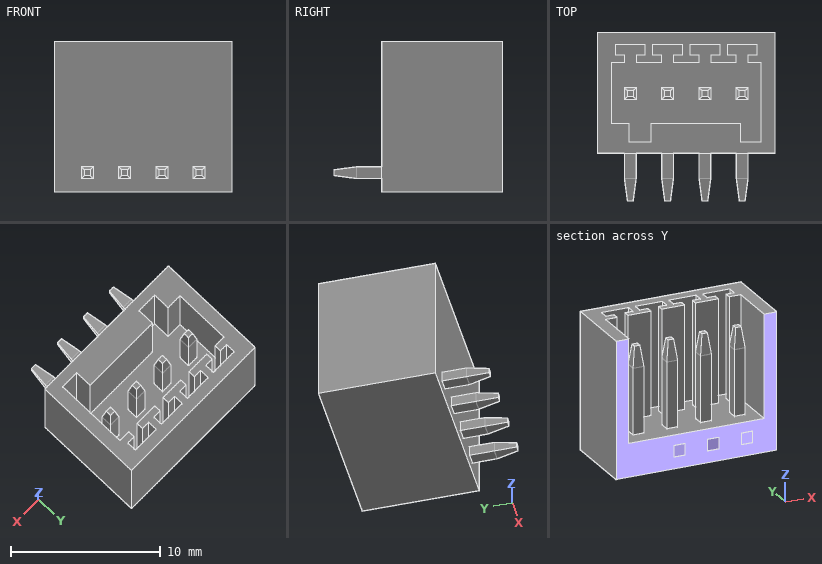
import cadquery as cq

housing_width = 11.9
housing_depth = 8.1
housing_height = 10.1

floor_z = 2.5
cavity_width = 10.0
cavity_front_y = 2.0
cavity_back_y = 6.1
cavity_depth = housing_height - floor_z

key_front_y = 0.75
left_key_start_x = -3.85
left_key_width = 1.5
right_key_width = 1.35

slot_neck_width = 0.8
slot_head_width = 2.0
slot_head_front_y = 6.6
slot_head_back_y = 7.3

pin_count = 4
pin_pitch = 2.5
pin_size = 0.8
pin_tip_size = 0.4
pin_taper_length = 1.5
pin_axis_z = 1.3
pin_axis_y = 4.0
pin_top_z = 8.85
pin_overhang = 3.2

first_pin_x = -pin_pitch * (pin_count - 1) / 2
pin_positions = [first_pin_x + i * pin_pitch for i in range(pin_count)]


def cavity_cut(x_start, x_end, y_start, y_end):
    """Rectangular pocket from the cavity floor up to the housing top."""
    return cq.Workplane("XY").box(
        x_end - x_start, y_end - y_start, cavity_depth, centered=False
    ).translate((x_start, y_start, floor_z))


def contact_slot(x):
    """T-shaped slot opening into the back of the cavity."""
    neck = cavity_cut(
        x - slot_neck_width / 2, x + slot_neck_width / 2, cavity_back_y, slot_head_front_y
    )
    head = cavity_cut(
        x - slot_head_width / 2, x + slot_head_width / 2, slot_head_front_y, slot_head_back_y
    )
    return neck.union(head)


def pin_leg(length):
    """Square bar along +Z from the origin, ending in a tapered tip."""
    straight_length = length - pin_taper_length
    bar = cq.Workplane("XY").rect(pin_size, pin_size).extrude(straight_length)
    tip = (
        cq.Workplane("XY", origin=(0, 0, straight_length))
        .rect(pin_size, pin_size)
        .workplane(offset=pin_taper_length)
        .rect(pin_tip_size, pin_tip_size)
        .loft(ruled=True)
    )
    return bar.union(tip)


def make_pin(x):
    """L-shaped pin: one leg rises into the cavity, the other leaves the front face."""
    half = pin_size / 2
    bend_bottom_z = pin_axis_z - half
    bend_back_y = pin_axis_y + half
    contact_leg = pin_leg(pin_top_z - bend_bottom_z).translate((x, pin_axis_y, bend_bottom_z))
    board_leg = (
        pin_leg(bend_back_y + pin_overhang)
        .rotate((0, 0, 0), (1, 0, 0), 90)
        .translate((x, bend_back_y, pin_axis_z))
    )
    return contact_leg.union(board_leg)


def make_housing():
    """Open-topped shell with keyways, contact slots and fitted pin passages."""
    half_cavity = cavity_width / 2
    body = cq.Workplane("XY").box(
        housing_width, housing_depth, housing_height, centered=(True, False, False)
    )
    body = body.cut(cavity_cut(-half_cavity, half_cavity, cavity_front_y, cavity_back_y))
    left_key_end_x = left_key_start_x + left_key_width
    body = body.cut(cavity_cut(left_key_start_x, left_key_end_x, key_front_y, cavity_front_y))
    right_key_start_x = half_cavity - right_key_width
    body = body.cut(cavity_cut(right_key_start_x, half_cavity, key_front_y, cavity_front_y))
    for x in pin_positions:
        body = body.cut(contact_slot(x))
    return body


housing = make_housing().union(make_pin(pin_positions[0]))
pins = [make_pin(x) for x in pin_positions[1:]]
for pin in pins:
    housing = housing.cut(pin)

result = cq.Compound.makeCompound([housing.val(), *[pin.val() for pin in pins]])